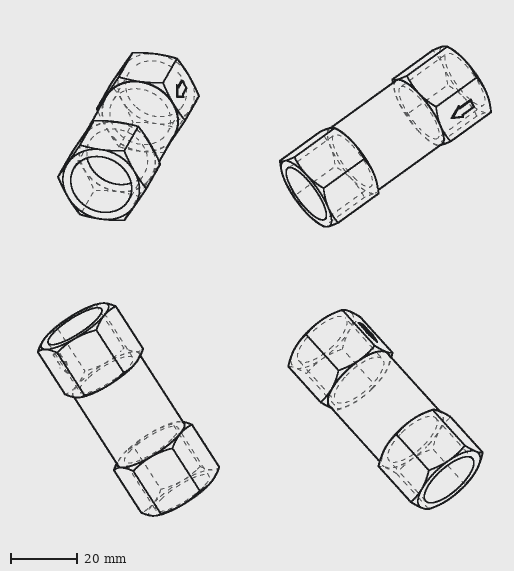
import cadquery as cq
import math

length = 62.0
hex_sides = 6
across_flats = 24.0
hex_length = 18.0
body_diameter = 23.7
bore_diameter = 19.1
bore_depth = hex_length
chamfer_angle = 30.0

arrow_tail_gap = 5.5
arrow_length = 8.3
arrow_head_length = 3.85
arrow_head_width = 4.5
arrow_shaft_width = 3.05
arrow_height = 0.155
arrow_draft = 60.0
flat_tilt = 360 / hex_sides

across_corners = across_flats / math.cos(math.pi / hex_sides)
chamfer_width = (across_corners - across_flats) / 2
chamfer_height = chamfer_width * math.tan(math.radians(chamfer_angle))


def hex_end():
    """Hexagon at the +Y end with its corners turned down to cones at both faces."""
    inner_face = length / 2 - hex_length
    outer_face = length / 2
    flat_radius = across_flats / 2
    corner_radius = across_corners / 2
    hexagon = (
        cq.Workplane("XZ", origin=(0, outer_face, 0))
        .polygon(hex_sides, across_corners)
        .extrude(hex_length)
    )
    turned_blank = (
        cq.Workplane("XY")
        .polyline([
            (0, inner_face),
            (flat_radius, inner_face),
            (corner_radius, inner_face + chamfer_height),
            (corner_radius, outer_face - chamfer_height),
            (flat_radius, outer_face),
            (0, outer_face),
        ])
        .close()
        .revolve(360, (0, 0, 0), (0, 1, 0))
    )
    return hexagon.intersect(turned_blank)


def bore():
    """Blind round bore entering from the +Y end."""
    return (
        cq.Workplane("XZ", origin=(0, length / 2, 0))
        .circle(bore_diameter / 2)
        .extrude(bore_depth)
    )


def flow_arrow():
    """Low raised arrow with sloping sides on the upper +X flat, pointing toward -Y."""
    tail = length / 2 - arrow_tail_gap
    tip = tail - arrow_length
    shoulder = tip + arrow_head_length
    half_shaft = arrow_shaft_width / 2
    half_head = arrow_head_width / 2
    return (
        cq.Workplane("XY", origin=(0, 0, across_flats / 2))
        .polyline([
            (-half_shaft, tail),
            (half_shaft, tail),
            (half_shaft, shoulder),
            (half_head, shoulder),
            (0, tip),
            (-half_head, shoulder),
            (-half_shaft, shoulder),
        ])
        .close()
        .extrude(arrow_height, taper=arrow_draft)
        .rotate((0, 0, 0), (0, 1, 0), flat_tilt)
    )


body = cq.Workplane("XZ", origin=(0, length / 2, 0)).circle(body_diameter / 2).extrude(length)
result = body
for end in (hex_end(), hex_end().mirror("XZ")):
    result = result.union(end)
for end_bore in (bore(), bore().mirror("XZ")):
    result = result.cut(end_bore)
result = result.union(flow_arrow())